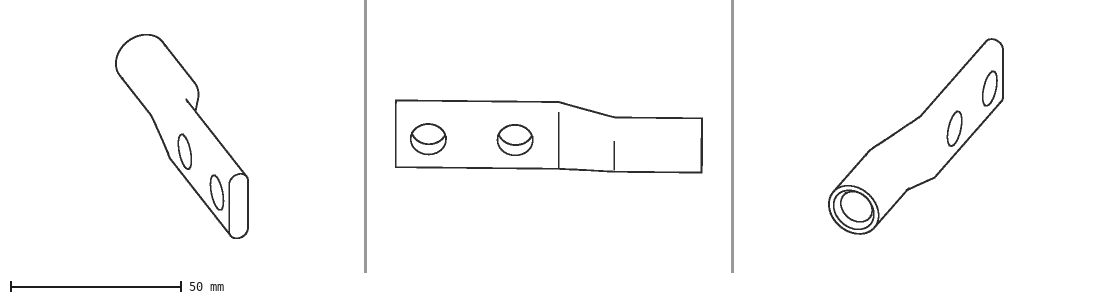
import cadquery as cq
import math

length = 89.7
barrel_diameter = 16.0
barrel_length = 25.5
transition_length = 16.5
palm_width = 21.8
palm_thickness = 6.0

hole_diameter = 10.3
hole_spacing = 25.4
end_hole_distance = 9.6

bore_diameter = 10.05
mouth_diameter = 12.9
mouth_depth = 2.0
bore_depth = barrel_length

barrel_radius = barrel_diameter / 2
palm_start = barrel_length + transition_length
edge_radius = palm_thickness / 2
flat_half_width = palm_width / 2 - edge_radius
palm_front = -barrel_radius
palm_middle = palm_front + edge_radius
palm_back = palm_front + palm_thickness

front_seam_angle = math.radians(60)
back_seam_angle = math.radians(75)


def barrel_point(seam_angle, y_side, z_side):
    """Point on the barrel outline at an angle measured from the Z axis."""
    return (
        y_side * barrel_radius * math.sin(seam_angle),
        z_side * barrel_radius * math.cos(seam_angle),
    )


def barrel_outline(x):
    """Round section split into four arcs to match the palm outline."""
    return (
        cq.Workplane("YZ", origin=(x, 0, 0))
        .moveTo(*barrel_point(front_seam_angle, -1, -1))
        .threePointArc((-barrel_radius, 0), barrel_point(front_seam_angle, -1, 1))
        .threePointArc(
            barrel_point((front_seam_angle - back_seam_angle) / 2, -1, 1),
            barrel_point(back_seam_angle, 1, 1),
        )
        .threePointArc((barrel_radius, 0), barrel_point(back_seam_angle, 1, -1))
        .threePointArc(
            barrel_point((front_seam_angle - back_seam_angle) / 2, -1, -1),
            barrel_point(front_seam_angle, -1, -1),
        )
        .close()
    )


def palm_outline(x):
    """Flat section with fully rounded long edges."""
    return (
        cq.Workplane("YZ", origin=(x, 0, 0))
        .moveTo(palm_front, -flat_half_width)
        .lineTo(palm_front, flat_half_width)
        .threePointArc((palm_middle, palm_width / 2), (palm_back, flat_half_width))
        .lineTo(palm_back, -flat_half_width)
        .threePointArc((palm_middle, -palm_width / 2), (palm_front, -flat_half_width))
        .close()
    )


def make_transition():
    """Ruled body blending the round barrel into the flat palm."""
    round_end = barrel_outline(barrel_length).wire().val()
    flat_end = palm_outline(palm_start).wire().val()
    return cq.Workplane(cq.Solid.makeLoft([round_end, flat_end], True))


def make_bore():
    """Blind bore with a conical lead-in at the open end."""
    return (
        cq.Workplane("XY")
        .lineTo(0, mouth_diameter / 2)
        .lineTo(mouth_depth, bore_diameter / 2)
        .lineTo(bore_depth, bore_diameter / 2)
        .lineTo(bore_depth, 0)
        .close()
        .revolve(360, (0, 0, 0), (1, 0, 0))
    )


def make_bolt_holes():
    """Two round holes through the palm thickness."""
    end_hole_x = length - end_hole_distance
    return (
        cq.Workplane("XZ", origin=(0, palm_back, 0))
        .pushPoints([(end_hole_x - hole_spacing, 0), (end_hole_x, 0)])
        .circle(hole_diameter / 2)
        .extrude(palm_thickness)
    )


barrel = cq.Workplane("YZ").circle(barrel_radius).extrude(barrel_length)
palm = palm_outline(palm_start).extrude(length - palm_start)

result = barrel.union(make_transition()).union(palm)
result = result.cut(make_bore()).cut(make_bolt_holes())